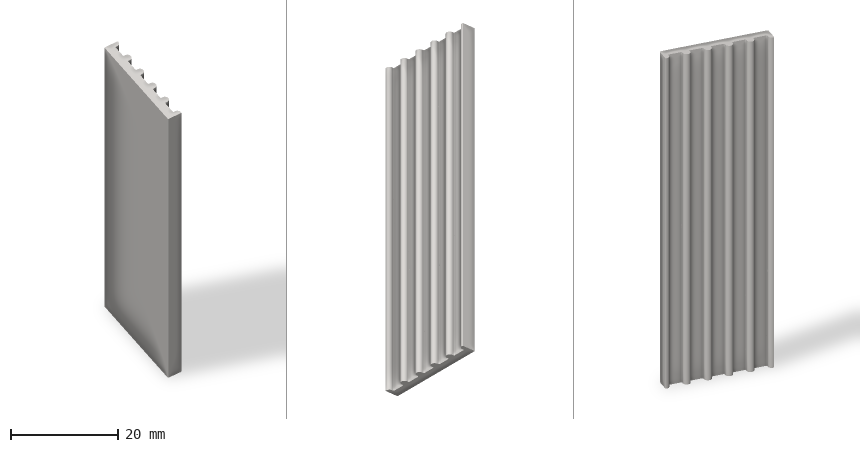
import cadquery as cq

WIDTH = 22.0
LENGTH = 70.0
THICKNESS = 3.0
BACK_CORNER_RADIUS = 0.2
FRONT_CORNER_RADIUS = 0.1

FLOOR_THICKNESS = 1.8
RIB_WIDTH = 1.5
RIB_COUNT = 4
EDGE_RIB_WIDTH = 1.0
ROOT_RADIUS = 0.2

CREST_RADIUS = RIB_WIDTH / 2

X_SIDE = WIDTH / 2
Y_BACK = -THICKNESS / 2
Y_CREST = THICKNESS / 2
Y_FLOOR = Y_BACK + FLOOR_THICKNESS
Y_ROUND_START = Y_CREST - CREST_RADIUS
OPEN_WIDTH = WIDTH - 2 * EDGE_RIB_WIDTH
GROOVE_COUNT = RIB_COUNT + 1
GROOVE_WIDTH = (OPEN_WIDTH - RIB_COUNT * RIB_WIDTH) / GROOVE_COUNT
RIB_PITCH = RIB_WIDTH + GROOVE_WIDTH


def make_blank():
    """Full-size block with its four long corners rounded, the back pair more strongly."""
    blank = cq.Workplane("XY").box(WIDTH, THICKNESS, LENGTH)
    blank = blank.faces("<Y").edges("|Z").fillet(BACK_CORNER_RADIUS)
    return blank.faces(">Y").edges("|Z").fillet(FRONT_CORNER_RADIUS)


def make_groove(x_center):
    """Cutter for one groove, flaring out to the crests, with rounded roots."""
    x_left = x_center - GROOVE_WIDTH / 2
    x_right = x_center + GROOVE_WIDTH / 2
    groove = (
        cq.Workplane("XY", origin=(0, 0, -LENGTH / 2))
        .moveTo(x_left - CREST_RADIUS, Y_CREST)
        .radiusArc((x_left, Y_ROUND_START), CREST_RADIUS)
        .lineTo(x_left, Y_FLOOR)
        .lineTo(x_right, Y_FLOOR)
        .lineTo(x_right, Y_ROUND_START)
        .radiusArc((x_right + CREST_RADIUS, Y_CREST), CREST_RADIUS)
        .close()
        .extrude(LENGTH)
    )
    return groove.faces("<Y").edges("|Z").fillet(ROOT_RADIUS)


def make_strip():
    """Blank with evenly spaced grooves that leave the ribs standing between them."""
    strip = make_blank()
    first_groove_center = -X_SIDE + EDGE_RIB_WIDTH + GROOVE_WIDTH / 2
    for index in range(GROOVE_COUNT):
        strip = strip.cut(make_groove(first_groove_center + index * RIB_PITCH))
    return strip


result = make_strip()